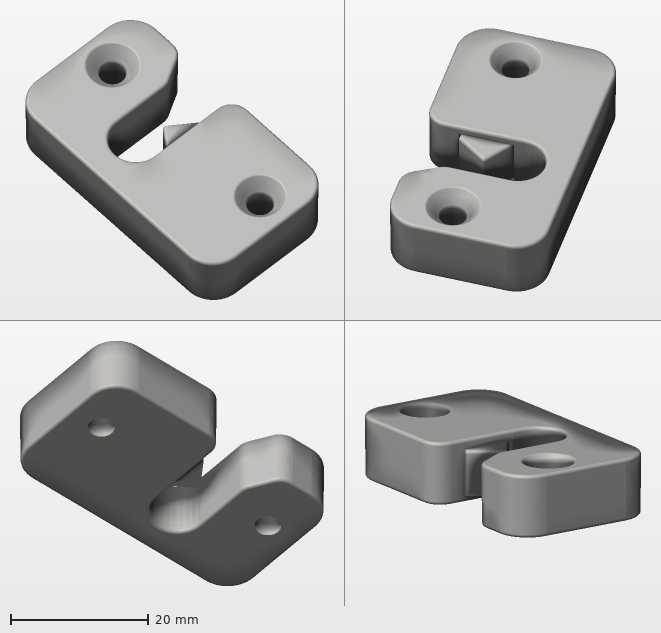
import cadquery as cq
import math

length = 43.0
width = 24.0
height = 9.5
lid_thickness = 1.05
base_height = height - lid_thickness
floor_thickness = 1.05
corner_radius = 5.0
edge_fillet = 0.5
draft_angle = 0.45

slot_width = 8.05
slot_radius = slot_width / 2
slot_right = 0.05
slot_left = slot_right - slot_width
slot_centre_x = (slot_left + slot_right) / 2
slot_round_y = -3.53
mouth_start_y = 6.5
mouth_slope = 60.0
mouth_radius = 3.0
mouth_left = slot_left - (width / 2 - mouth_start_y) / math.tan(math.radians(mouth_slope))

hole_spacing = 31.75
hole_y = 2.85
hole_diameter = 3.9
countersink_depth = 2.0
left_countersink_diameter = 7.95
right_countersink_diameter = 7.52
boss_diameter = 9.98
boss_height = base_height - floor_thickness
screw_holes = [
    (-hole_spacing / 2, left_countersink_diameter),
    (hole_spacing / 2, right_countersink_diameter),
]
hole_centres = [(x, hole_y) for x, _ in screw_holes]

latch_top = 7.9
latch_tip_x = -3.9
latch_tip_y = 1.7
latch_slope = 55.0
latch_max_y = 6.62
latch_clearance = 0.17
pocket_max_y = latch_max_y + latch_clearance
pocket_min_y = -1.68
latch_min_y = pocket_min_y + latch_clearance
pocket_depth = 6.0
pocket_back_x = slot_right + pocket_depth
plug_depth = 0.4
plug_clearance = 0.1


def housing_outline():
    """Rounded rectangle with the slot removed."""
    mouth = [
        (slot_left, slot_round_y),
        (slot_left, mouth_start_y),
        (mouth_left, width / 2),
        (slot_right, width / 2),
        (slot_right, slot_round_y),
        (slot_left, slot_round_y),
    ]
    margin = 0.45
    mouth_corners = cq.selectors.BoxSelector(
        (mouth_left - margin, mouth_start_y - margin, -margin),
        (slot_right + margin, width / 2 + margin, margin),
    )
    return (
        cq.Sketch()
        .rect(length, width)
        .vertices()
        .fillet(corner_radius)
        .reset()
        .polygon(mouth, mode="s")
        .reset()
        .push([(slot_centre_x, slot_round_y)])
        .circle(slot_radius, mode="s")
        .reset()
        .clean()
        .vertices(mouth_corners)
        .fillet(mouth_radius)
        .reset()
    )


def block(x_limits, y_limits, z_limits):
    """Box between pairs of coordinates."""
    size = [high - low for low, high in (x_limits, y_limits, z_limits)]
    corner = (x_limits[0], y_limits[0], z_limits[0])
    return cq.Workplane().box(*size, centered=False).translate(corner)


def boss_cylinders():
    """Cylinders from the base floor up to the lid, one around each screw hole."""
    return (
        cq.Workplane(origin=(0, 0, floor_thickness))
        .pushPoints(hole_centres)
        .circle(boss_diameter / 2)
        .extrude(boss_height)
    )


def make_base():
    """Tapered block with recesses for the latch and for the bosses of the lid."""
    base = (
        cq.Workplane(origin=(0, 0, base_height))
        .placeSketch(housing_outline())
        .extrude(-base_height, taper=draft_angle)
        .faces("<Z")
        .edges()
        .fillet(edge_fillet)
    )
    pocket = block(
        (slot_centre_x, pocket_back_x),
        (pocket_min_y, pocket_max_y),
        (floor_thickness, base_height),
    )
    floor_holes = (
        cq.Workplane()
        .pushPoints(hole_centres)
        .circle(hole_diameter / 2)
        .extrude(floor_thickness)
    )
    return base.cut(pocket).cut(boss_cylinders()).cut(floor_holes)


def make_lid():
    """Plate with two countersunk bosses and a plug over the latch pocket."""
    plate = (
        cq.Workplane(origin=(0, 0, base_height))
        .placeSketch(housing_outline())
        .extrude(lid_thickness)
    )
    plug = block(
        (slot_right + plug_clearance, pocket_back_x - plug_clearance),
        (pocket_min_y + plug_clearance, pocket_max_y - plug_clearance),
        (base_height - plug_depth, base_height),
    )
    lid = plate.union(boss_cylinders()).union(plug)

    for x, countersink_diameter in screw_holes:
        cone_run = (countersink_diameter - hole_diameter) / 2
        cone_angle = 2 * math.degrees(math.atan(cone_run / countersink_depth))
        lid = (
            lid.faces(">Z")
            .workplane(origin=(x, hole_y, height))
            .cskHole(hole_diameter, countersink_diameter, cone_angle)
        )
    lid = lid.faces(">Z").edges().fillet(edge_fillet)
    cone_bottom = height - countersink_depth
    reach = 0.05
    bore_rims = cq.selectors.BoxSelector(
        (-length / 2, -width / 2, cone_bottom - reach),
        (length / 2, width / 2, cone_bottom + reach),
    )
    return lid.edges(bore_rims).fillet(edge_fillet)


def make_latch():
    """Straight body ending in a right-angled tip with rounded corners."""
    slope = math.tan(math.radians(latch_slope))
    shoulder_x = latch_tip_x + (latch_max_y - latch_tip_y) / slope
    heel_x = latch_tip_x + (latch_tip_y - latch_min_y) * slope
    outline = [
        (latch_tip_x, latch_tip_y),
        (shoulder_x, latch_max_y),
        (pocket_back_x, latch_max_y),
        (pocket_back_x, latch_min_y),
        (heel_x, latch_min_y),
    ]
    latch = (
        cq.Workplane(origin=(0, 0, floor_thickness))
        .polyline(outline)
        .close()
        .extrude(latch_top - floor_thickness)
    )
    tip_corners = cq.selectors.BoxSelector(
        (latch_tip_x - edge_fillet, latch_min_y, 0),
        (slot_right, latch_max_y + edge_fillet, height),
    )
    latch = latch.edges("|Z").edges(tip_corners).fillet(edge_fillet)
    return latch.faces(">Z").edges().fillet(edge_fillet)


base = make_base()
lid = make_lid()
latch = make_latch()
result = cq.Compound.makeCompound([base.solids().val(), lid.solids().val(), latch.solids().val()])